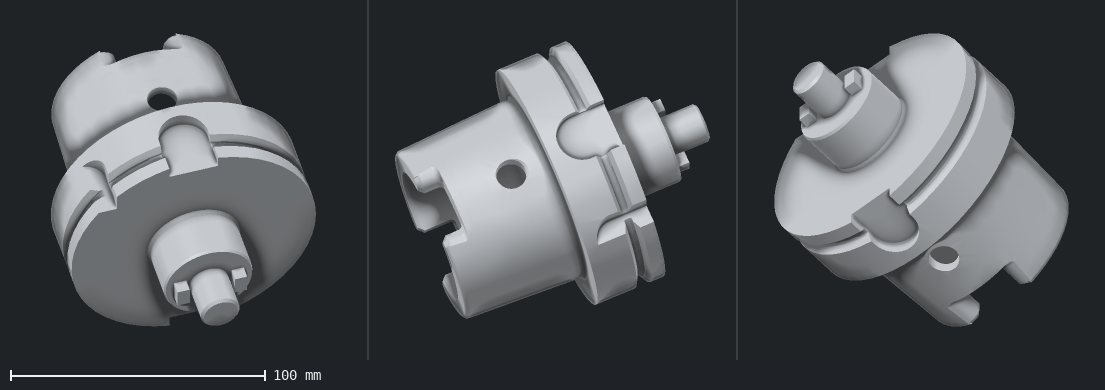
import cadquery as cq
import math

OVERALL_LENGTH = 117.0
FLANGE_START = 50.0
FLANGE_END = 79.0
BOSS_END = 100.0
KEY_END = 105.0

SHANK_SMALL_RADIUS = 35.7
SHANK_LARGE_RADIUS = 37.9
SHANK_EDGE_RADIUS = 2.0
TAPER_END = 47.2
NECK_START = 48.1
NECK_RADIUS = 37.7
NECK_END = 48.9
NECK_FILLET = 1.3
UNDERCUT_OUTER_RADIUS = 39.7

FLANGE_RADIUS = 100.0 / 2
GROOVE_CENTRE = 70.0
GROOVE_MOUTH_HALF_WIDTH = 3.2
GROOVE_FLOOR_HALF_WIDTH = 1.6
GROOVE_BEVEL_DEPTH = 2.6
GROOVE_DEPTH = 4.0
GROOVE_FILLET = 0.7

BOSS_RADIUS = 18.1
BOSS_FOOT_LENGTH = 1.6
BOSS_FOOT_RISE = 0.8
BOSS_CHAMFER = 1.2
BOSS_CHAMFER_DROP = 0.5
PILOT_RADIUS = 8.0
PILOT_CHAMFER = 1.0
KEY_WIDTH = 8.2
KEY_INNER = 9.2
KEY_OUTER = 14.3

BORE_RADIUS = 26.5
BORE_CHAMFER_DEPTH = 1.4
BORE_CHAMFER_RISE = 0.8
LIP_END = 20.0
CHAMBER_START = 25.2
CHAMBER_START_RADIUS = 33.5
CHAMBER_END = 39.9
CHAMBER_FLOOR = 45.7
CHAMBER_FILLET = CHAMBER_FLOOR - CHAMBER_END
CHAMBER_FLOOR_RADIUS = 24.9
CHAMBER_END_RADIUS = CHAMBER_FLOOR_RADIUS + CHAMBER_FILLET
THREAD_RADIUS = 11.0
THREAD_CHAMFER = 1.0
THREAD_RECESS_DEPTH = 3.5
THREAD_MOUTH_CHAMFER = 0.5
THREAD_DEPTH = 16.4

DRIVER_SLOT_WIDTH = 20.0
UPPER_SLOT_DEPTH = 9.8
LOWER_SLOT_DEPTH = 14.7
DRIVER_FLARE_START = 26.9
DRIVER_FLARE_RADIUS = 4.9
DRIVER_FLOOR_FILLET = 2.1
DRIVER_BEVEL = 2.1
DRIVER_BEVEL_REACH = 15.6

ACCESS_HOLE_X = 34.9
ACCESS_HOLE_RADIUS = 6.0
ACCESS_HOLE_CHAMFER = 0.6

KEYWAY_TIP = 55.0
KEYWAY_WIDTH = 20.0
KEYWAY_FLOOR = 44.0
NOTCH_WALL = 31.5
NOTCH_FLOOR = 31.5
NOTCH_CORNER_RADIUS = 8.0
POCKET_FLOOR_FILLET = 0.5

CLEAR = 58.5


def make_body():
    """Turned outer shape, revolved about the X axis."""
    neck_fillet_mid = NECK_FILLET * math.sqrt(0.5)
    edge_mid = SHANK_EDGE_RADIUS * (1 - math.sqrt(0.5))
    boss_foot_end = FLANGE_END + BOSS_FOOT_LENGTH
    profile = (
        cq.Workplane("XY")
        .moveTo(0, 0)
        .lineTo(0, SHANK_SMALL_RADIUS - SHANK_EDGE_RADIUS)
        .threePointArc(
            (edge_mid, SHANK_SMALL_RADIUS - edge_mid),
            (SHANK_EDGE_RADIUS, SHANK_SMALL_RADIUS),
        )
        .lineTo(TAPER_END, SHANK_LARGE_RADIUS)
        .lineTo(NECK_START, NECK_RADIUS)
        .lineTo(NECK_END, NECK_RADIUS)
        .threePointArc(
            (NECK_END + neck_fillet_mid, NECK_RADIUS + NECK_FILLET - neck_fillet_mid),
            (NECK_END + NECK_FILLET, NECK_RADIUS + NECK_FILLET),
        )
        .lineTo(FLANGE_START, UNDERCUT_OUTER_RADIUS)
        .lineTo(FLANGE_START, FLANGE_RADIUS)
        .lineTo(FLANGE_END, FLANGE_RADIUS)
        .lineTo(FLANGE_END, BOSS_RADIUS + BOSS_FOOT_RISE)
        .lineTo(boss_foot_end, BOSS_RADIUS)
        .lineTo(BOSS_END - BOSS_CHAMFER, BOSS_RADIUS)
        .lineTo(BOSS_END, BOSS_RADIUS - BOSS_CHAMFER_DROP)
        .lineTo(BOSS_END, PILOT_RADIUS)
        .lineTo(OVERALL_LENGTH - PILOT_CHAMFER, PILOT_RADIUS)
        .lineTo(OVERALL_LENGTH, PILOT_RADIUS - PILOT_CHAMFER)
        .lineTo(OVERALL_LENGTH, 0)
        .close()
    )
    return profile.revolve(360, (0, 0, 0), (1, 0, 0))


def make_gripper_groove():
    """V-shaped ring groove with a straight-sided, round-cornered floor."""
    bevel_radius = FLANGE_RADIUS - GROOVE_BEVEL_DEPTH
    floor_radius = FLANGE_RADIUS - GROOVE_DEPTH
    groove = (
        cq.Workplane("XY")
        .moveTo(GROOVE_CENTRE - GROOVE_MOUTH_HALF_WIDTH, CLEAR)
        .lineTo(GROOVE_CENTRE - GROOVE_MOUTH_HALF_WIDTH, FLANGE_RADIUS)
        .lineTo(GROOVE_CENTRE - GROOVE_FLOOR_HALF_WIDTH, bevel_radius)
        .lineTo(GROOVE_CENTRE - GROOVE_FLOOR_HALF_WIDTH, floor_radius)
        .lineTo(GROOVE_CENTRE + GROOVE_FLOOR_HALF_WIDTH, floor_radius)
        .lineTo(GROOVE_CENTRE + GROOVE_FLOOR_HALF_WIDTH, bevel_radius)
        .lineTo(GROOVE_CENTRE + GROOVE_MOUTH_HALF_WIDTH, FLANGE_RADIUS)
        .lineTo(GROOVE_CENTRE + GROOVE_MOUTH_HALF_WIDTH, CLEAR)
        .close()
        .revolve(360, (0, 0, 0), (1, 0, 0))
    )
    ring = cq.selectors.RadiusNthSelector(0)
    return groove.edges(ring).fillet(GROOVE_FILLET)


def make_bore():
    """Clamping bore: lip, undercut conical chamber, and central blind hole."""
    fillet_mid = CHAMBER_FILLET * math.sqrt(0.5)
    recess_radius = THREAD_RADIUS + THREAD_CHAMFER
    recess_end = CHAMBER_FLOOR + THREAD_RECESS_DEPTH
    profile = (
        cq.Workplane("XY")
        .moveTo(0, 0)
        .lineTo(0, BORE_RADIUS + BORE_CHAMFER_RISE)
        .lineTo(BORE_CHAMFER_DEPTH, BORE_RADIUS)
        .lineTo(LIP_END, BORE_RADIUS)
        .lineTo(CHAMBER_START, CHAMBER_START_RADIUS)
        .lineTo(CHAMBER_END, CHAMBER_END_RADIUS)
        .threePointArc(
            (CHAMBER_END + fillet_mid, CHAMBER_FLOOR_RADIUS + fillet_mid),
            (CHAMBER_FLOOR, CHAMBER_FLOOR_RADIUS),
        )
        .lineTo(CHAMBER_FLOOR, recess_radius + THREAD_MOUTH_CHAMFER)
        .lineTo(CHAMBER_FLOOR + THREAD_MOUTH_CHAMFER, recess_radius)
        .lineTo(recess_end, recess_radius)
        .lineTo(recess_end + THREAD_CHAMFER, THREAD_RADIUS)
        .lineTo(CHAMBER_FLOOR + THREAD_DEPTH, THREAD_RADIUS)
        .lineTo(CHAMBER_FLOOR + THREAD_DEPTH, 0)
        .close()
    )
    return profile.revolve(360, (0, 0, 0), (1, 0, 0))


def driver_slot_outline(growth):
    """Slot cross-section flaring outward near the shank surface, widened by growth."""
    half_width = DRIVER_SLOT_WIDTH / 2 + growth
    flare = DRIVER_FLARE_RADIUS - growth
    flare_top = DRIVER_FLARE_START + flare
    flare_mid = flare * (1 - math.sqrt(0.5))
    flare_rise = flare * math.sqrt(0.5)
    return (
        cq.Workplane("YZ")
        .moveTo(-half_width, 0)
        .lineTo(-half_width, DRIVER_FLARE_START)
        .threePointArc(
            (-half_width - flare_mid, DRIVER_FLARE_START + flare_rise),
            (-half_width - flare, flare_top),
        )
        .lineTo(-CLEAR, flare_top)
        .lineTo(-CLEAR, CLEAR)
        .lineTo(CLEAR, CLEAR)
        .lineTo(CLEAR, flare_top)
        .lineTo(half_width + flare, flare_top)
        .threePointArc(
            (half_width + flare_mid, DRIVER_FLARE_START + flare_rise),
            (half_width, DRIVER_FLARE_START),
        )
        .lineTo(half_width, 0)
        .close()
    )


def make_driver_slot(depth):
    """Slot toward +Z, filleted along its floor and bevelled at the shank end."""
    slot = driver_slot_outline(0).extrude(depth).faces(">X").edges().fillet(DRIVER_FLOOR_FILLET)
    bevel = driver_slot_outline(DRIVER_BEVEL).extrude(DRIVER_BEVEL, taper=45)
    bevel_limit = cq.Workplane("XY").box(2 * CLEAR, 2 * DRIVER_BEVEL_REACH, 2 * CLEAR)
    return slot.union(bevel.intersect(bevel_limit))


def make_access_hole():
    """Cross hole through both shank walls, with a conical break at each mouth."""
    hole = cq.Workplane("XY", origin=(ACCESS_HOLE_X, 0, 0)).circle(ACCESS_HOLE_RADIUS)
    hole = hole.extrude(CLEAR, both=True)
    taper_fraction = (ACCESS_HOLE_X - SHANK_EDGE_RADIUS) / (TAPER_END - SHANK_EDGE_RADIUS)
    surface = SHANK_SMALL_RADIUS + taper_fraction * (SHANK_LARGE_RADIUS - SHANK_SMALL_RADIUS)
    cone_base = surface - ACCESS_HOLE_CHAMFER
    for side in (1, -1):
        break_cone = cq.Solid.makeCone(
            ACCESS_HOLE_RADIUS,
            ACCESS_HOLE_RADIUS + 2 * ACCESS_HOLE_CHAMFER,
            2 * ACCESS_HOLE_CHAMFER,
            cq.Vector(ACCESS_HOLE_X, 0, side * cone_base),
            cq.Vector(0, 0, side),
        )
        hole = hole.union(cq.Workplane(obj=break_cone))
    return hole


def make_keyway():
    """Round-ended keyway on the +Z side of the flange, open toward +X."""
    half_width = KEYWAY_WIDTH / 2
    end_centre = KEYWAY_TIP + half_width
    return (
        cq.Workplane("XY", origin=(0, 0, KEYWAY_FLOOR))
        .moveTo(OVERALL_LENGTH, half_width)
        .lineTo(end_centre, half_width)
        .threePointArc((KEYWAY_TIP, 0), (end_centre, -half_width))
        .lineTo(OVERALL_LENGTH, -half_width)
        .close()
        .extrude(CLEAR)
        .faces("<Z")
        .edges()
        .fillet(POCKET_FLOOR_FILLET)
    )


def make_notch():
    """Orientation notch on the -Y, +Z side of the flange, open toward +X."""
    return (
        cq.Workplane("XY", origin=(0, 0, NOTCH_FLOOR))
        .moveTo(KEYWAY_TIP, -CLEAR)
        .lineTo(OVERALL_LENGTH, -CLEAR)
        .lineTo(OVERALL_LENGTH, -NOTCH_WALL)
        .lineTo(KEYWAY_TIP, -NOTCH_WALL)
        .close()
        .extrude(CLEAR)
        .edges("|Z and <X and >Y")
        .fillet(NOTCH_CORNER_RADIUS)
        .faces("<Z")
        .edges()
        .fillet(POCKET_FLOOR_FILLET)
    )


def make_drive_key(side):
    """Rectangular drive key on the boss face, on the +Y (1) or -Y (-1) side."""
    key_height = KEY_OUTER - KEY_INNER
    key_length = KEY_END - BOSS_END
    centre_y = side * (KEY_INNER + KEY_OUTER) / 2
    return (
        cq.Workplane("YZ", origin=(BOSS_END, 0, 0))
        .center(centre_y, 0)
        .rect(key_height, KEY_WIDTH)
        .extrude(key_length)
    )


def turn_over(shape):
    """Carry a +Z feature round to the -Z side."""
    return shape.rotate((0, 0, 0), (1, 0, 0), 180)


result = make_body()
for key_side in (1, -1):
    result = result.union(make_drive_key(key_side))
result = result.cut(make_gripper_groove())
result = result.cut(make_bore())
result = result.cut(make_driver_slot(UPPER_SLOT_DEPTH))
result = result.cut(turn_over(make_driver_slot(LOWER_SLOT_DEPTH)))
result = result.cut(make_access_hole())
result = result.cut(make_keyway())
result = result.cut(turn_over(make_keyway()))
result = result.cut(make_notch())